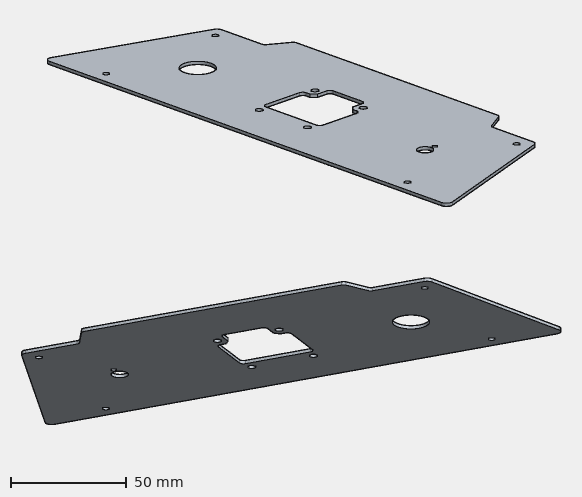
import cadquery as cq
import math

length = 247.6
width = 92.0
thickness = 1.58
corner_radius = 3.0

shoulder_y = 80.2
shoulder_half_length = 98.0
raised_half_length = 63.1
raised_flank_angle = 60.0
raised_corner_radius = 2.0

window_half_width = 17.5
window_front_y = 27.7
window_shoulder_y = 52.3
neck_half_width = 11.0
neck_rear_y = 62.2
neck_chamfer = 2.2
window_corner_radius = 2.0

mount_diameter = 3.0
mount_half_spacing = 92.9
mount_front_y = 7.0
mount_rear_y = 73.3
window_screw_diameter = 3.5
window_screw_half_spacing = 14.9
window_screw_front_y = 23.0
window_screw_rear_y = 57.0
side_hole_half_spacing = 70.0
side_hole_y = 40.0
large_hole_diameter = 16.0
shaft_hole_diameter = 7.5
locating_hole_diameter = 2.4
locating_hole_offset = 6.0


def mirrored_prism(right_side):
    """Extrude the outline made of the right-hand points and their mirror images."""
    left_side = [(-x, y) for x, y in reversed(right_side)]
    return cq.Workplane("XY").polyline(right_side + left_side).close().extrude(thickness)


def make_plate():
    run = length / 2 - corner_radius - shoulder_half_length
    drop = shoulder_y - corner_radius
    end_angle = math.atan2(run, drop) + math.asin(corner_radius / math.hypot(run, drop))
    sharp_half_length = shoulder_half_length + shoulder_y * math.tan(end_angle)
    flank_run = (width - shoulder_y) / math.tan(math.radians(raised_flank_angle))
    plate = mirrored_prism([
        (sharp_half_length, 0),
        (shoulder_half_length, shoulder_y),
        (raised_half_length + flank_run, shoulder_y),
        (raised_half_length, width),
    ])
    raised_corners = cq.selectors.BoxSelector(
        (-shoulder_half_length + corner_radius, 0, 0),
        (shoulder_half_length - corner_radius, 2 * width, thickness),
    )
    end_corners = plate.edges("|Z").edges(cq.selectors.InverseSelector(raised_corners))
    plate = end_corners.fillet(corner_radius)
    return plate.edges("|Z").edges(raised_corners).fillet(raised_corner_radius)


def make_window():
    window = mirrored_prism([
        (window_half_width, window_front_y),
        (window_half_width, window_shoulder_y),
        (neck_half_width + neck_chamfer, window_shoulder_y),
        (neck_half_width, window_shoulder_y + neck_chamfer),
        (neck_half_width, neck_rear_y),
    ])
    outer_corners = window.edges("|Z and (<X or >X or >Y)")
    return outer_corners.fillet(window_corner_radius)


def make_holes(diameter, centers):
    return cq.Workplane("XY").pushPoints(centers).circle(diameter / 2).extrude(thickness)


def four_centers(half_spacing, front_y, rear_y):
    return [(x, y) for x in (-half_spacing, half_spacing) for y in (front_y, rear_y)]


mount_centers = four_centers(mount_half_spacing, mount_front_y, mount_rear_y)
window_screw_centers = four_centers(
    window_screw_half_spacing, window_screw_front_y, window_screw_rear_y
)
locating_center = (side_hole_half_spacing, side_hole_y + locating_hole_offset)

result = (
    make_plate()
    .cut(make_window())
    .cut(make_holes(mount_diameter, mount_centers))
    .cut(make_holes(window_screw_diameter, window_screw_centers))
    .cut(make_holes(large_hole_diameter, [(-side_hole_half_spacing, side_hole_y)]))
    .cut(make_holes(shaft_hole_diameter, [(side_hole_half_spacing, side_hole_y)]))
    .cut(make_holes(locating_hole_diameter, [locating_center]))
)